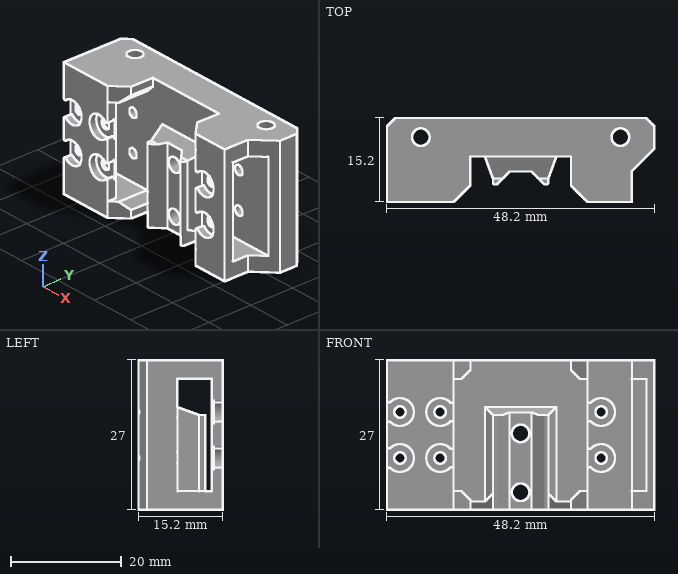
import cadquery as cq
import math


LENGTH = 48.25
DEPTH = 15.2
HEIGHT = 27.0
BACK_CHAMFER = 1.5
RIGHT_BLOCK_END = 44.2
RIGHT_STEP_Y = 5.6

CENTER_X = 24.1
OPENING_HALF = 9.05
MOUTH_CHAMFER = 3.0
FLOOR_Y = 8.2
MOUTH_HALF = OPENING_HALF + MOUTH_CHAMFER

SLOT_FRONT_Y = 2.03
SLOT_BOTTOM = 3.4
SLOT_TOP = HEIGHT - SLOT_BOTTOM
SLOT_EDGE_CHAMFER = 1.6

RAIL_HALF = 5.0
RAIL_FLANK_Y = 4.25
RAIL_TOP = 17.1
RAIL_TIP_Y = 3.15
RAIL_TIP_RADIUS = 0.5
GROOVE_HALF = 2.0
GROOVE_Y = 5.5
DRAFT = math.tan(math.radians(20))
UNDERCUT_Z = 1.5

BOLT_DIAMETER = 3.15
BOLT_SPACING = 36.0
BOLT_Y = 11.7
RAIL_HOLE_HEIGHTS = (3.2, 13.8)
SCREW_DIAMETER = 2.03
SCREW_SPACING = 8.3
SCREW_OFFSET = 14.5
OUTER_SCREW_X = 2.35
COUNTERBORE_RADIUS = 2.5
COUNTERBORE_DEPTH = 1.6
LIP_RADIUS = 0.4


def box(x0, x1, y0, y1, z0, z1):
    return cq.Workplane("XY").box(x1 - x0, y1 - y0, z1 - z0, centered=False).translate((x0, y0, z0))


def hole_along_y(x, z, diameter):
    return cq.Workplane("XZ", origin=(x, 0, z)).circle(diameter / 2).extrude(-DEPTH)


def make_body():
    left = CENTER_X - OPENING_HALF
    right = CENTER_X + OPENING_HALF
    slope = LENGTH - RIGHT_BLOCK_END
    outline = [
        (0, 0),
        (left - MOUTH_CHAMFER, 0),
        (left, MOUTH_CHAMFER),
        (left, FLOOR_Y),
        (right, FLOOR_Y),
        (right, MOUTH_CHAMFER),
        (right + MOUTH_CHAMFER, 0),
        (RIGHT_BLOCK_END, 0),
        (RIGHT_BLOCK_END, RIGHT_STEP_Y),
        (LENGTH, RIGHT_STEP_Y + slope),
        (LENGTH, DEPTH - BACK_CHAMFER),
        (LENGTH - BACK_CHAMFER, DEPTH),
        (BACK_CHAMFER, DEPTH),
        (0, DEPTH - BACK_CHAMFER),
    ]
    return cq.Workplane("XY").polyline(outline).close().extrude(HEIGHT)


def make_slot():
    """Lengthwise slot, opened to the front between the blocks, with beveled inner edges."""
    slot = box(0, LENGTH, SLOT_FRONT_Y, FLOOR_Y, SLOT_BOTTOM, SLOT_TOP)
    window = box(CENTER_X - MOUTH_HALF, CENTER_X + MOUTH_HALF, 0, FLOOR_Y, SLOT_BOTTOM, SLOT_TOP)
    wide = OPENING_HALF + SLOT_EDGE_CHAMFER
    bevels = (
        cq.Workplane("XZ", origin=(CENTER_X, 0, HEIGHT / 2))
        .rect(2 * wide, SLOT_TOP - SLOT_BOTTOM + 2 * SLOT_EDGE_CHAMFER)
        .extrude(-FLOOR_Y)
        .edges("|Y")
        .chamfer(SLOT_EDGE_CHAMFER)
    )
    bevels = bevels.cut(box(0, LENGTH, 0, FLOOR_Y, SLOT_BOTTOM, SLOT_TOP))
    return slot.union(window).union(bevels)


def make_rail():
    base_half = RAIL_HALF + (FLOOR_Y - RAIL_FLANK_Y) * DRAFT
    tip_x = RAIL_HALF - RAIL_TIP_RADIUS
    tip_y = RAIL_TIP_Y + RAIL_TIP_RADIUS
    diagonal = RAIL_TIP_RADIUS * math.sqrt(0.5)
    half = (
        cq.Workplane("XY", origin=(CENTER_X, 0, 0))
        .moveTo(0, FLOOR_Y)
        .lineTo(base_half, FLOOR_Y)
        .lineTo(RAIL_HALF, RAIL_FLANK_Y)
        .lineTo(RAIL_HALF, tip_y)
        .threePointArc((tip_x, RAIL_TIP_Y), (tip_x - diagonal, tip_y - diagonal))
        .lineTo(GROOVE_HALF, GROOVE_Y)
        .lineTo(0, GROOVE_Y)
        .close()
        .extrude(HEIGHT)
    )
    rail = half.union(half.mirror("YZ", (CENTER_X, 0, 0)))
    side = [
        (0, 0),
        (FLOOR_Y, 0),
        (FLOOR_Y, RAIL_TOP + (FLOOR_Y - RAIL_FLANK_Y) * DRAFT),
        (RAIL_FLANK_Y, RAIL_TOP),
        (0, RAIL_TOP),
    ]
    return rail.intersect(cq.Workplane("YZ").polyline(side).close().extrude(LENGTH))


def make_undercut():
    """Sloped relief under the flanks and back wall on both sides of the rail."""
    wedge = [
        (0, 0),
        (FLOOR_Y + UNDERCUT_Z / DRAFT, 0),
        (0, UNDERCUT_Z + FLOOR_Y * DRAFT),
    ]
    span = OPENING_HALF - RAIL_HALF
    left = (
        cq.Workplane("YZ", origin=(CENTER_X - OPENING_HALF, 0, 0))
        .polyline(wedge)
        .close()
        .extrude(span)
        .cut(box(0, CENTER_X, 0, MOUTH_CHAMFER, 0, HEIGHT))
    )
    return left.union(left.mirror("YZ", (CENTER_X, 0, 0)))


def make_counterbore(x, z, edge_x):
    """Counterbore that breaks out through the wall edge at edge_x with rounded lips."""
    gap = abs(x - edge_x)
    outward = math.copysign(1, edge_x - x)
    reach = COUNTERBORE_RADIUS + LIP_RADIUS
    lip_x = gap - LIP_RADIUS
    lip_z = math.sqrt(reach**2 - lip_x**2)
    share = COUNTERBORE_RADIUS / reach
    mid_angle = math.atan2(-lip_z, -lip_x) / 2
    mid_x = lip_x + LIP_RADIUS * math.cos(mid_angle)
    mid_z = lip_z + LIP_RADIUS * math.sin(mid_angle)
    return (
        cq.Workplane("XZ", origin=(x, 0, z))
        .moveTo(outward * gap, lip_z)
        .threePointArc((outward * mid_x, mid_z), (outward * lip_x * share, lip_z * share))
        .threePointArc((-outward * COUNTERBORE_RADIUS, 0), (outward * lip_x * share, -lip_z * share))
        .threePointArc((outward * mid_x, -mid_z), (outward * gap, -lip_z))
        .close()
        .extrude(-COUNTERBORE_DEPTH)
    )


result = make_body().cut(make_slot()).union(make_rail()).cut(make_undercut())

for bolt_x in (CENTER_X - BOLT_SPACING / 2, CENTER_X + BOLT_SPACING / 2):
    bolt_hole = cq.Workplane("XY", origin=(bolt_x, BOLT_Y, 0)).circle(BOLT_DIAMETER / 2).extrude(HEIGHT)
    result = result.cut(bolt_hole)

for rail_hole_z in RAIL_HOLE_HEIGHTS:
    result = result.cut(hole_along_y(CENTER_X, rail_hole_z, BOLT_DIAMETER))

SCREW_COLUMNS = (
    (OUTER_SCREW_X, 0),
    (CENTER_X - SCREW_OFFSET, CENTER_X - MOUTH_HALF),
    (CENTER_X + SCREW_OFFSET, CENTER_X + MOUTH_HALF),
)
for screw_x, wall_x in SCREW_COLUMNS:
    for screw_z in (HEIGHT / 2 - SCREW_SPACING / 2, HEIGHT / 2 + SCREW_SPACING / 2):
        result = result.cut(hole_along_y(screw_x, screw_z, SCREW_DIAMETER))
        result = result.cut(make_counterbore(screw_x, screw_z, wall_x))